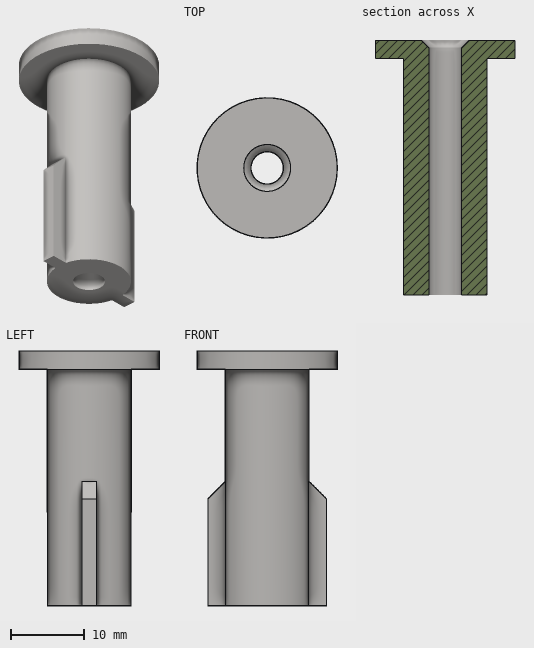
import cadquery as cq

total_height = 34.5
flange_diameter = 19.0
flange_thickness = 2.5
body_diameter = 11.4

bore_diameter = 4.35
countersink_diameter = 6.35
countersink_angle = 90.0

fin_span = 16.08
fin_thickness = 1.93
fin_height = 16.85

body_radius = body_diameter / 2
fin_reach = fin_span / 2
fin_shoulder_height = fin_height - (fin_reach - body_radius)


def make_body():
    """Round shank standing on Z = 0, capped by the flange."""
    shank = cq.Workplane("XY").circle(body_radius).extrude(total_height)
    flange = (
        cq.Workplane("XY")
        .workplane(offset=total_height - flange_thickness)
        .circle(flange_diameter / 2)
        .extrude(flange_thickness)
    )
    return shank.union(flange)


def make_fins():
    """One plate across the shank whose two ends form the fins.

    The slopes reach the shank surface at the full fin height.
    """
    return (
        cq.Workplane("XZ")
        .moveTo(-fin_reach, 0)
        .lineTo(fin_reach, 0)
        .lineTo(fin_reach, fin_shoulder_height)
        .lineTo(body_radius, fin_height)
        .lineTo(-body_radius, fin_height)
        .lineTo(-fin_reach, fin_shoulder_height)
        .close()
        .extrude(fin_thickness / 2, both=True)
    )


solid_part = make_body().union(make_fins())
result = (
    solid_part.faces(">Z")
    .workplane(origin=(0, 0, total_height))
    .cskHole(bore_diameter, countersink_diameter, countersink_angle)
)